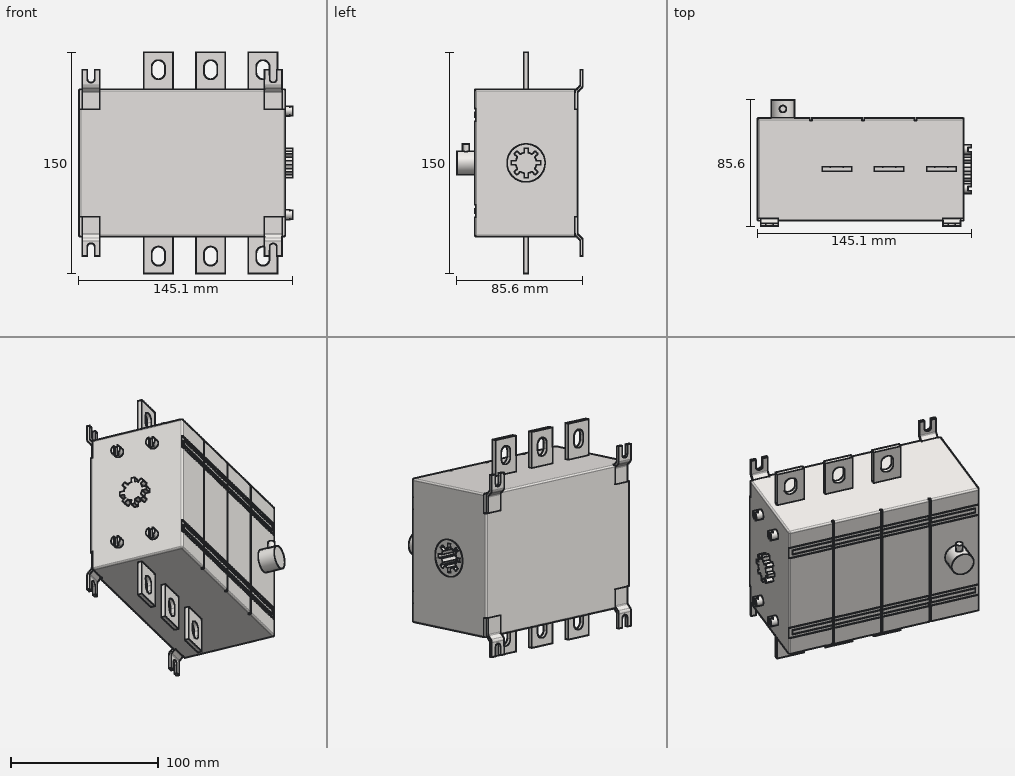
import cadquery as cq
import math

housing_width = 140.0
housing_depth = 69.9
housing_height = 100.0
edge_radius = 1.2

half_width = housing_width / 2
half_height = housing_height / 2
mid_depth = 35.1

terminal_pitch = 35.4
terminal_middle_x = 19.4
terminal_xs = [terminal_middle_x + step * terminal_pitch for step in (-1, 0, 1)]
terminal_width = 20.0
terminal_thickness = 3.2
terminal_span = 150.0
terminal_hole_width = 8.8
terminal_hole_length = 12.8
terminal_hole_inset = 11.8

phase_groove_width = 1.4
phase_groove_depth = 1.8
band_offset = 32.5
band_height = 8.4
band_depth = 0.6
band_island_height = 3.3
band_island_end_gap = 3.0

shaft_x = -52.6
shaft_diameter = 16.0
shaft_length = 12.2
cross_pin_diameter = 4.6
cross_pin_height = 5.0
cross_pin_inset = 6.2

spline_teeth = 8
spline_tip_radius = 10.0
spline_root_radius = 7.0
spline_tooth_width = 2.7
socket_depth = 15.0
socket_collar_diameter = 25.8
socket_collar_depth = 0.3
stub_length = 5.1

screw_diameter = 6.9
screw_offset_y = 13.2
screw_offset_z = 35.1
screw_slot_width = 2.7
screw_slot_depth = 2.2

bracket_width = 12.0
bracket_inset = 2.2
bracket_thickness = 2.0
bracket_overlap = 13.6
bracket_reach = 13.2
bracket_step = 3.5
bend_start = -1.88
bend_inner_radius = 1.0
bend_outer_radius = bend_inner_radius + bracket_thickness
bracket_slot_width = 5.0
bracket_slot_length = 8.7
bracket_x = half_width - bracket_inset - bracket_width / 2

corners = [(side, end) for side in (-1, 1) for end in (-1, 1)]


def box_between(x_min, x_max, y_min, y_max, z_min, z_max):
    """Axis-aligned box given by its limits."""
    box = cq.Workplane("XY").box(x_max - x_min, y_max - y_min, z_max - z_min, centered=False)
    return box.translate((x_min, y_min, z_min))


def make_case():
    case = box_between(-half_width, half_width, 0, housing_depth, -half_height, half_height)
    return case.edges().fillet(edge_radius)


def make_terminal_bar(x):
    """Bar through the full height, with one elongated hole near each end."""
    half_span = terminal_span / 2
    hole_z = half_span - terminal_hole_inset
    bar = cq.Workplane("XY").box(terminal_width, terminal_thickness, terminal_span)
    holes = (
        cq.Workplane("XZ")
        .pushPoints([(0, hole_z), (0, -hole_z)])
        .slot2D(terminal_hole_length, terminal_hole_width, 90)
        .extrude(terminal_thickness, both=True)
    )
    return bar.cut(holes).translate((x, mid_depth, 0))


def make_shaft():
    """Round shaft on the back face, with a cross pin standing up from it."""
    shaft_end = housing_depth + shaft_length
    shaft = (
        cq.Workplane("XZ", origin=(shaft_x, shaft_end, 0))
        .circle(shaft_diameter / 2)
        .extrude(shaft_length + edge_radius)
    )
    cross_pin = (
        cq.Workplane("XY", origin=(shaft_x, shaft_end - cross_pin_inset, 0))
        .circle(cross_pin_diameter / 2)
        .extrude(shaft_diameter / 2 + cross_pin_height)
    )
    return shaft.union(cross_pin)


def make_spline(x_start, length):
    """Splined bar that runs along +X from x_start."""
    plane = cq.Workplane("YZ", origin=(x_start, mid_depth, 0))
    spline = plane.circle(spline_root_radius).extrude(length)
    for index in range(spline_teeth // 2):
        tooth_pair = plane.rect(2 * spline_tip_radius, spline_tooth_width).extrude(length)
        angle = index * 360 / spline_teeth
        spline = spline.union(tooth_pair.rotate((0, mid_depth, 0), (1, mid_depth, 0), angle))
    return spline


def make_screw_head(side, end):
    """Round head on the right face with a slot along Z."""
    y = mid_depth + side * screw_offset_y
    z = end * screw_offset_z
    head = (
        cq.Workplane("YZ", origin=(half_width, y, z))
        .circle(screw_diameter / 2)
        .extrude(stub_length)
    )
    slot = cq.Workplane("XY").box(2 * screw_slot_depth, screw_slot_width, 2 * screw_diameter)
    return head.cut(slot.translate((half_width + stub_length, y, z)))


def make_socket():
    """Splined socket in the left face, inside a shallow round recess."""
    collar = (
        cq.Workplane("YZ", origin=(-half_width, mid_depth, 0))
        .circle(socket_collar_diameter / 2)
        .extrude(socket_collar_depth)
    )
    return collar.union(make_spline(-half_width, socket_depth))


def make_phase_groove(terminal_x):
    """Full-height groove in the back face, half a pitch before a terminal."""
    x = terminal_x - terminal_pitch / 2
    half_groove = phase_groove_width / 2
    floor = housing_depth - phase_groove_depth
    return box_between(x - half_groove, x + half_groove, floor, housing_depth, -half_height, half_height)


def make_back_band(end):
    """Shallow band across the back face that leaves a flush island along its middle."""
    floor = housing_depth - band_depth
    z = end * band_offset
    half_band = band_height / 2
    half_island = band_island_height / 2
    island_end = half_width - band_island_end_gap
    band = box_between(-half_width, half_width, floor, housing_depth, z - half_band, z + half_band)
    island = box_between(-island_end, island_end, floor, housing_depth, z - half_island, z + half_island)
    return band.cut(island)


def make_bracket_seat(side, end):
    """Corner notch that takes a bracket and stays open to the side and end faces."""
    length = bracket_inset + bracket_width
    seat = box_between(
        half_width - length, half_width, 0, bracket_thickness, half_height - bracket_overlap, half_height
    )
    return place_in_corner(seat, side, end)


def place_in_corner(shape, side, end):
    """Mirror a shape modelled at the right top corner into the wanted corner."""
    if side < 0:
        shape = shape.mirror("YZ")
    if end < 0:
        shape = shape.mirror("XY")
    return shape


def make_housing():
    housing = make_case()
    for side, end in corners:
        housing = housing.cut(make_bracket_seat(side, end))
    for end in (-1, 1):
        housing = housing.cut(make_back_band(end))
    for x in terminal_xs:
        housing = housing.cut(make_phase_groove(x))
    housing = housing.cut(make_socket())
    for x in terminal_xs:
        housing = housing.union(make_terminal_bar(x))
    for side, end in corners:
        housing = housing.union(make_screw_head(side, end))
    return housing.union(make_spline(half_width, stub_length)).union(make_shaft())


def make_bracket(side, end):
    """Sheet foot: flat in its seat, a 45 degree step to the front, then a slotted tab."""
    bend_end = bend_start + bracket_step
    back_shift = bracket_thickness * math.tan(math.radians(22.5))
    profile = [
        (0, -bracket_overlap),
        (0, bend_start),
        (-bracket_step, bend_end),
        (-bracket_step, bracket_reach),
        (bracket_thickness - bracket_step, bracket_reach),
        (bracket_thickness - bracket_step, bend_end + back_shift),
        (bracket_thickness, bend_start + back_shift),
        (bracket_thickness, -bracket_overlap),
    ]
    front_bend, tab_front_bend = profile[1:3]
    tab_back_bend, back_bend = profile[5:7]
    foot = cq.Workplane("YZ").polyline(profile).close().extrude(bracket_width / 2, both=True)
    for bends, radius in (
        ((front_bend, tab_back_bend), bend_inner_radius),
        ((tab_front_bend, back_bend), bend_outer_radius),
    ):
        for y, z in bends:
            foot = foot.edges(cq.selectors.NearestToPointSelector((0, y, z))).fillet(radius)

    slot = (
        cq.Workplane("XZ", origin=(0, 0, bracket_reach))
        .slot2D(2 * bracket_slot_length, bracket_slot_width, 90)
        .extrude(2 * bracket_step, both=True)
    )
    foot = foot.cut(slot).translate((bracket_x, 0, half_height))
    return place_in_corner(foot, side, end)


housing = make_housing()
brackets = [make_bracket(side, end) for side, end in corners]

result = cq.Compound.makeCompound([housing.val(), *[bracket.val() for bracket in brackets]])